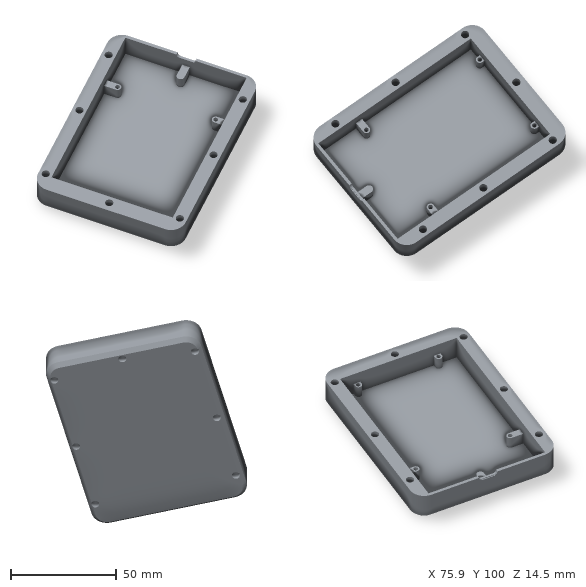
import cadquery as cq
import math

BODY_WIDTH = 75.91
BODY_LENGTH = 99.98
BODY_HEIGHT = 14.5
CORNER_RADIUS = 7.5
BOTTOM_CHAMFER = 2.0

CAVITY_WIDTH = 62.4
FLOOR_THICKNESS = 2.0
BACK_WALL = 1.5
FRONT_WALL = 7.8

RIM_HOLE_DIAMETER = 3.9
RIM_HOLE_EDGE_GAP = 3.45
SIDE_HOLE_YS = (-41.3, 0.0, 35.9)
FRONT_HOLE_EDGE_GAP = 4.3

SUPPORT_HEIGHT = 6.2
POST_WIDTH = 3.6
BACK_TAB_WIDTH = 3.9
PILOT_DIAMETER = 2.2
SIDE_SUPPORT_XS = (-25.1, 25.4)
SIDE_SUPPORT_Y = 24.3
FRONT_SUPPORT_XS = (-20.8, 22.2)
FRONT_SUPPORT_Y = -40.7
BACK_TAB_LENGTH = 8.5

NOTCH_WIDTH = 9.8
NOTCH_DEPTH = 1.7
NOTCH_RECESS_DROP = 0.4
NOTCH_RECESS_THICKNESS = 0.4

BACK_Y = BODY_LENGTH / 2
FRONT_Y = -BACK_Y
CAVITY_BACK_Y = BACK_Y - BACK_WALL
CAVITY_FRONT_Y = FRONT_Y + FRONT_WALL
CAVITY_SIDE_X = CAVITY_WIDTH / 2
BACK_TAB_Y = CAVITY_BACK_Y - BACK_TAB_LENGTH + BACK_TAB_WIDTH / 2


def make_tray():
    """Rounded block with a chamfered underside and an open rectangular cavity."""
    block = (
        cq.Workplane("XY")
        .rect(BODY_WIDTH, BODY_LENGTH)
        .extrude(BODY_HEIGHT)
        .edges("|Z")
        .fillet(CORNER_RADIUS)
        .faces("<Z")
        .edges()
        .chamfer(BOTTOM_CHAMFER)
    )
    cavity = (
        cq.Workplane("XY", origin=(0, (CAVITY_BACK_Y + CAVITY_FRONT_Y) / 2, FLOOR_THICKNESS))
        .rect(CAVITY_WIDTH, CAVITY_BACK_Y - CAVITY_FRONT_Y)
        .extrude(BODY_HEIGHT)
    )
    return block.cut(cavity)


def make_rim_holes():
    """Cylinders for the holes along both sides and in the middle of the front wall."""
    side_x = BODY_WIDTH / 2 - RIM_HOLE_EDGE_GAP
    centers = [(side * side_x, y) for side in (-1, 1) for y in SIDE_HOLE_YS]
    centers.append((0, FRONT_Y + FRONT_HOLE_EDGE_GAP))
    return cq.Workplane("XY").pushPoints(centers).circle(RIM_HOLE_DIAMETER / 2).extrude(BODY_HEIGHT)


def make_support(center, wall_point, width):
    """Post with a round end at center and a straight web to the wall at wall_point."""
    dx = wall_point[0] - center[0]
    dy = wall_point[1] - center[1]
    web_middle = (center[0] + dx / 2, center[1] + dy / 2)
    floor = cq.Workplane("XY").workplane(offset=FLOOR_THICKNESS)
    post = floor.center(*center).circle(width / 2).extrude(SUPPORT_HEIGHT)
    web = (
        floor.center(*web_middle)
        .rect(abs(dx) or width, abs(dy) or width)
        .extrude(SUPPORT_HEIGHT)
    )
    return post.union(web)


def make_pilot_hole(center):
    """Blind hole through the height of a support, down to the cavity floor."""
    return (
        cq.Workplane("XY", origin=(center[0], center[1], FLOOR_THICKNESS))
        .circle(PILOT_DIAMETER / 2)
        .extrude(SUPPORT_HEIGHT)
    )


def add_post(body, center, wall_point):
    """Body with one more post at center, joined to the wall and bored with a pilot hole."""
    return body.union(make_support(center, wall_point, POST_WIDTH)).cut(make_pilot_hole(center))


def make_notch():
    """Round-cornered connector notch, cut slightly lower in a thin layer at the outer face."""
    slot_height = 2 * NOTCH_DEPTH
    notch = (
        cq.Workplane("XZ", origin=(0, BACK_Y, BODY_HEIGHT))
        .slot2D(NOTCH_WIDTH, slot_height)
        .extrude(BACK_WALL)
    )
    recess = (
        cq.Workplane("XZ", origin=(0, BACK_Y, BODY_HEIGHT))
        .slot2D(NOTCH_WIDTH, slot_height + 2 * NOTCH_RECESS_DROP)
        .extrude(NOTCH_RECESS_THICKNESS)
    )
    return notch.union(recess)


result = make_tray().cut(make_rim_holes()).cut(make_notch())

result = result.union(make_support((0, BACK_TAB_Y), (0, CAVITY_BACK_Y), BACK_TAB_WIDTH))

for post_x in SIDE_SUPPORT_XS:
    post_center = (post_x, SIDE_SUPPORT_Y)
    wall_point = (math.copysign(CAVITY_SIDE_X, post_x), SIDE_SUPPORT_Y)
    result = add_post(result, post_center, wall_point)

for post_x in FRONT_SUPPORT_XS:
    post_center = (post_x, FRONT_SUPPORT_Y)
    wall_point = (post_x, CAVITY_FRONT_Y)
    result = add_post(result, post_center, wall_point)